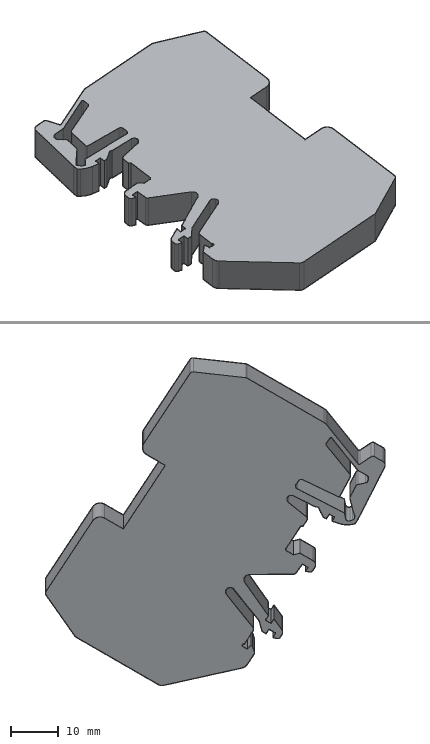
import cadquery as cq
import math


length = 68.0
width = 47.0
thickness = 8.2
tiny_radius = 0.3
edge_radius = 0.7

shoulder_run = 4.9
shoulder_drop = 10.55
notch_left = 25.6
notch_right = 42.2
notch_depth = 6.4
notch_radius = 1.85

flank_bottom = 2.65
flank_height = 12.85
flank_bottom_radius = 2.05
flank_top_radius = 1.35

arm_start_y = 17.0
arm_start_radius = 2.05
arm_end_x = 4.2
arm_end_y = 6.25
foot_left = 0.95
foot_top = 4.9
foot_left_bottom = 1.5
foot_toe_x = 15.85
foot_toe_flat = 0.95
foot_right = 17.9
foot_toe_radius = 4.75
foot_radius = 1.0
foot_hook_bend_x = 17.3
foot_hook_bend_y = 1.5
foot_groove_bottom = 4.4
foot_groove_height = 1.3
foot_groove_floor = 16.85
foot_nose_x = 18.1
foot_nose_y = 6.45
foot_neck_x = 16.7
foot_neck_y = 8.6

cavity_left = 2.0
outer_slot_width = 2.05
outer_slot_top = 14.55
tongue_left = 7.15
tongue_right = 12.5
tongue_left_bottom = 6.4
tongue_right_bottom = 5.9
inner_slot_left = 13.25
inner_slot_right = 15.6
toe_recess_neck_x = 14.95
toe_recess_neck_y = 3.2
toe_recess_right = 16.5
toe_recess_right_y = 1.8
toe_recess_tip_x = 14.9
toe_recess_tip_y = 0.55
ridge_left = 8.3
ridge_left_top = 4.35
ridge_right = 11.55
ridge_right_top = 4.0
heel_right = 6.7
heel_left = 5.4
heel_bottom = 2.8
heel_radius = 0.9

groove_depth = 1.15
hook_radius = 1.1

rail_slot_left = 17.35
rail_slot_right = 19.0
rail_slot_top = 15.1
rail_slot_radius = 0.8
rail_roof = 9.4
rail_roof_step = 0.4
rail_roof_step_left = 22.0
rail_roof_step_right = 22.3
rail_slot_foot_left = 17.0
rail_slot_foot_right = 19.9
rail_gap_right = 28.5
rail_gap_ledge = 7.35

middle_left = 27.5
middle_bottom = 2.05
middle_width = 2.85
middle_slant = 0.5
middle_top = 6.4
middle_groove_floor = 29.3
groove_bottom = 3.25
groove_top = 4.6

vee_left = 32.0
vee_left_y = 4.75
vee_right = 42.85
vee_apex_x = 38.2
vee_apex_y = 14.6
vee_radius = 1.15
spring_right = 46.5
spring_slot_x = 42.5
spring_slot_y = 14.2
spring_slot_half_width = 0.95
spring_slot_radius = 0.9
spring_lean = 22.0
spring_bottom_left = 44.3
spring_bottom_right = 46.1
spring_groove_bottom = 1.3
spring_groove_top = 2.9
spring_shoulder_y = 3.95
spring_neck_x = 44.8
spring_neck_y = 5.7
pocket_left = 46.9
pocket_roof = 5.6
pocket_relief = 0.2
pocket_relief_x = 51.0
pocket_right = 51.5
catch_x = 50.4
catch_bottom = 3.9
catch_top = 4.3
catch_root_y = 4.5


def rounded_outline(corners):
    """Closed wire through (x, y, radius) corners, each rounded by a tangent arc."""
    arcs = []
    for index, (x, y, radius) in enumerate(corners):
        corner = cq.Vector(x, y)
        previous = cq.Vector(*corners[index - 1][:2])
        following = cq.Vector(*corners[(index + 1) % len(corners)][:2])
        back = (previous - corner).normalized()
        ahead = (following - corner).normalized()
        half_angle = back.getAngle(ahead) / 2
        tangent_length = radius / math.tan(half_angle)
        apex_gap = radius / math.sin(half_angle) - radius
        middle = corner + (back + ahead).normalized() * apex_gap
        arcs.append((corner + back * tangent_length, middle, corner + ahead * tangent_length, radius))

    outline = cq.Workplane("XY").moveTo(*arcs[0][0].toTuple()[:2])
    for index, (start, middle, end, radius) in enumerate(arcs):
        if index > 0:
            outline = outline.lineTo(start.x, start.y)
        if radius > 0:
            outline = outline.threePointArc((middle.x, middle.y), (end.x, end.y))
    return outline.close()


def left_foot_corners():
    """Outer spring arm, clip foot and the grooved hook facing the rail."""
    foot_groove_top = foot_groove_bottom + foot_groove_height
    return [
        (0, arm_start_y, arm_start_radius),
        (arm_end_x, arm_end_y, tiny_radius),
        (foot_left, foot_top, edge_radius),
        (foot_left, foot_left_bottom, foot_radius),
        (foot_toe_x - foot_toe_flat, 0, edge_radius),
        (foot_toe_x, 0, 0),
        (foot_hook_bend_x, foot_hook_bend_y, foot_toe_radius),
        (foot_right, foot_groove_bottom, 0),
        (foot_groove_floor, foot_groove_bottom, 0),
        (foot_groove_floor, foot_groove_top, 0),
        (foot_nose_x, foot_groove_top, 0),
        (foot_nose_x, foot_nose_y, tiny_radius),
        (foot_neck_x, foot_neck_y, tiny_radius),
    ]


def rail_gap_corners():
    """Rounded slot beside the foot arm, then the stepped roof over the rail."""
    low_roof = rail_roof - rail_roof_step
    return [
        (rail_slot_foot_left, low_roof, 0),
        (rail_slot_left, rail_slot_top, rail_slot_radius),
        (rail_slot_right, rail_slot_top, rail_slot_radius),
        (rail_slot_foot_right, low_roof, edge_radius),
        (rail_roof_step_left, low_roof, 0),
        (rail_roof_step_right, rail_roof, 0),
        (rail_gap_right, rail_roof, tiny_radius),
        (rail_gap_right, rail_gap_ledge, 0),
    ]


def middle_hook_corners():
    """Fixed hook with one groove on its right side."""
    middle_right = middle_left + middle_width
    return [
        (middle_left, middle_top, tiny_radius),
        (middle_left, middle_bottom, hook_radius),
        (middle_right - middle_slant, middle_bottom, edge_radius),
        (middle_right, groove_bottom, 0),
        (middle_groove_floor, groove_bottom, 0),
        (middle_groove_floor, groove_top, 0),
        (vee_left, vee_left_y, edge_radius),
    ]


def spring_hook_corners():
    """V-shaped opening, the spring hook with a groove on each side, and its slot."""
    lean = math.radians(spring_lean)
    tip_x = spring_slot_x - spring_slot_half_width * math.sin(lean)
    tip_y = spring_slot_y + spring_slot_half_width * math.cos(lean)
    side_x = spring_slot_half_width * math.cos(lean)
    side_y = spring_slot_half_width * math.sin(lean)
    left_floor = vee_right + groove_depth
    right_floor = spring_right - groove_depth
    return [
        (vee_apex_x, vee_apex_y, vee_radius),
        (vee_right, groove_top, 0),
        (left_floor, groove_top, 0),
        (left_floor, groove_bottom, 0),
        (vee_right, groove_bottom, 0),
        (spring_bottom_left, 0, hook_radius),
        (spring_bottom_right, 0, edge_radius),
        (spring_right, spring_groove_bottom, 0),
        (right_floor, spring_groove_bottom, 0),
        (right_floor, spring_groove_top, 0),
        (spring_right, spring_groove_top, 0),
        (spring_right, spring_shoulder_y, tiny_radius),
        (spring_neck_x, spring_neck_y, edge_radius),
        (tip_x - side_x, tip_y - side_y, spring_slot_radius),
        (tip_x + side_x, tip_y + side_y, spring_slot_radius),
    ]


def right_side_corners():
    """Pocket beside the spring slot, its catch, and the sloping right flank."""
    return [
        (pocket_left, pocket_roof, edge_radius),
        (pocket_relief_x, pocket_roof, 0),
        (pocket_relief_x, pocket_roof + pocket_relief, 0),
        (pocket_right, pocket_roof + pocket_relief, 0),
        (pocket_right, catch_root_y, 0),
        (catch_x, catch_top, 0),
        (catch_x, catch_bottom, 0),
        (pocket_right, flank_bottom, tiny_radius),
        (length - flank_height, flank_bottom, flank_bottom_radius),
        (length, flank_bottom + flank_height, flank_top_radius),
    ]


def top_edge_corners():
    """Sloping shoulders on both sides of the rectangular notch."""
    shoulder_y = width - shoulder_drop
    notch_floor = width - notch_depth
    return [
        (length, shoulder_y, edge_radius),
        (length - shoulder_run, width, edge_radius),
        (notch_right, width, notch_radius),
        (notch_right, notch_floor, 0),
        (notch_left, notch_floor, 0),
        (notch_left, width, notch_radius),
        (shoulder_run, width, edge_radius),
        (0, shoulder_y, edge_radius),
    ]


def foot_cavity_corners():
    """Opening that separates the clip foot from the plate and frees both spring arms."""
    outer_slot = [
        (cavity_left, outer_slot_top, tiny_radius),
        (cavity_left + outer_slot_width, outer_slot_top, tiny_radius),
    ]
    plate_tongue = [
        (tongue_left, tongue_left_bottom, edge_radius),
        (tongue_right, tongue_right_bottom, tiny_radius),
    ]
    inner_slot = [
        (inner_slot_left, rail_slot_top, edge_radius),
        (inner_slot_right, rail_slot_top, edge_radius),
    ]
    toe_recess = [
        (toe_recess_neck_x, toe_recess_neck_y, 0),
        (toe_recess_right, toe_recess_right_y, edge_radius),
        (toe_recess_tip_x, toe_recess_tip_y, edge_radius),
    ]
    foot_ridge = [
        (ridge_right, ridge_right_top, edge_radius),
        (ridge_left, ridge_left_top, edge_radius),
    ]
    heel_recess = [
        (heel_right, heel_bottom, edge_radius),
        (heel_left, heel_bottom, heel_radius),
        (heel_left, tongue_right_bottom, edge_radius),
    ]
    return outer_slot + plate_tongue + inner_slot + toe_recess + foot_ridge + heel_recess


plate_corners = (
    left_foot_corners()
    + rail_gap_corners()
    + middle_hook_corners()
    + spring_hook_corners()
    + right_side_corners()
    + top_edge_corners()
)
plate = rounded_outline(plate_corners).extrude(thickness)
foot_cavity = rounded_outline(foot_cavity_corners()).extrude(thickness)
result = plate.cut(foot_cavity)